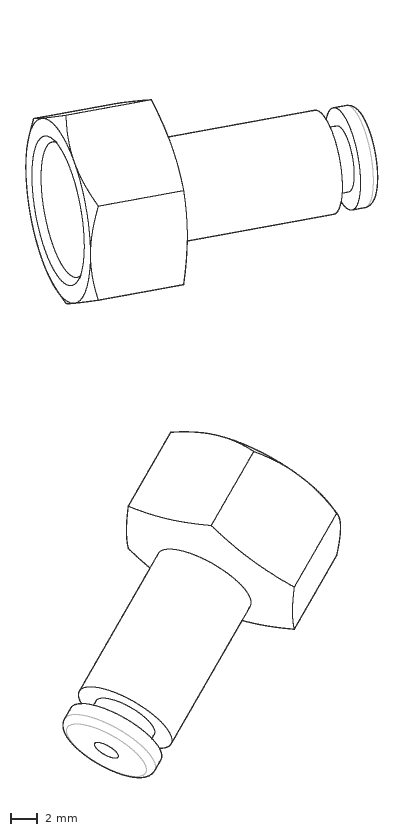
import cadquery as cq
import math

total_length = 24.1
across_flats = 14.0
corner_radius = across_flats / math.sqrt(3)

front_chamfer_angle = 30.0
rear_cone_angle = 15.0
hex_length = 8.5

shank_radius = 3.95
shank_end = 21.1
neck_radius = 2.5
head_start = 22.58
head_radius = 3.88
head_rounding = 0.5

socket_mouth_radius = 5.66
socket_start_radius = 5.13
socket_end_radius = 4.92
socket_lead_depth = 0.53
socket_depth = 7.0
hole_radius = 1.01


def revolve_profile(points):
    """Revolve (radius, y) points around the Y axis."""
    return cq.Workplane("XY").polyline(points).close().revolve(360, (0, 0, 0), (0, 1, 0))


def make_hexagon():
    """Hexagonal prism with corners on Z, trimmed by a cone at each end."""
    prism = (
        cq.Workplane("XZ")
        .polygon(6, 2 * corner_radius)
        .extrude(-hex_length)
        .rotate((0, 0, 0), (0, 1, 0), 30)
    )
    flat_radius = across_flats / 2
    front_drop = (corner_radius - flat_radius) * math.tan(math.radians(front_chamfer_angle))
    rear_drop = (corner_radius - shank_radius) * math.tan(math.radians(rear_cone_angle))
    envelope = revolve_profile([
        (0, 0),
        (flat_radius, 0),
        (corner_radius, front_drop),
        (corner_radius, hex_length - rear_drop),
        (shank_radius, hex_length),
        (0, hex_length),
    ])
    return prism.intersect(envelope)


def make_cylinder(radius, start, end):
    return cq.Workplane("XZ", origin=(0, start, 0)).circle(radius).extrude(start - end)


def make_socket():
    """Tapered socket with a conical lead-in at its mouth."""
    return revolve_profile([
        (0, 0),
        (socket_mouth_radius, 0),
        (socket_start_radius, socket_lead_depth),
        (socket_end_radius, socket_depth),
        (0, socket_depth),
    ])


shank = make_cylinder(shank_radius, hex_length, shank_end)
neck = make_cylinder(neck_radius, shank_end, head_start)
head = make_cylinder(head_radius, head_start, total_length).faces(">Y").edges().fillet(head_rounding)

result = make_hexagon().union(shank).union(neck).union(head)
result = result.cut(make_socket()).cut(make_cylinder(hole_radius, 0, total_length))